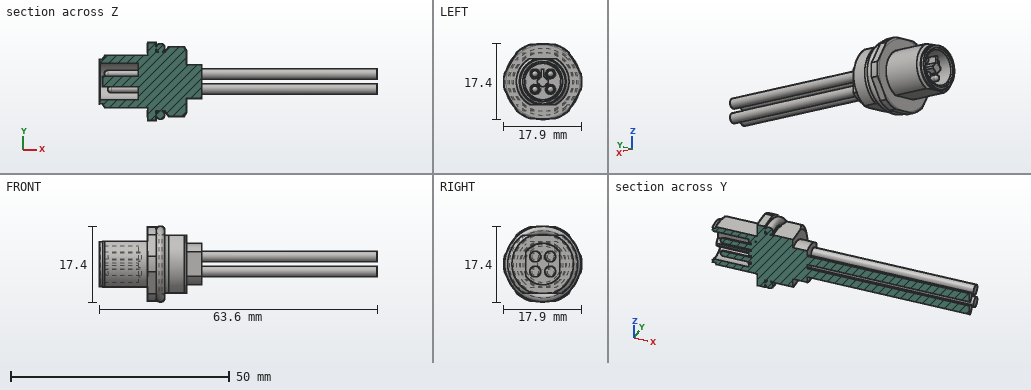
import cadquery as cq
import math

tip_end = 0.75
body_chamfer_end = 1.3
flange_start = 11.0
flange_end = 13.0
ring_end = 15.0
nut_end = 20.0
boot_end = 23.5
total_length = 63.6

tip_diameter = 10.3
body_diameter = 12.1
body_chamfer_diameter = 10.7
body_across_flats = 10.55

flange_across_flats = 17.0
flange_corner_diameter = 17.95
flange_face_diameter = 16.9
flange_chamfer_length = 0.05

ring_diameter = 17.4
ring_section = ring_end - flange_end
ring_seat_diameter = 13.5

nut_diameter = 16.0
nut_across_flats = 13.3
nut_front_chamfer_length = 0.9
nut_front_chamfer_depth = 1.2
nut_rear_chamfer_length = 0.6
nut_rear_chamfer_depth = 0.95

boot_diameter = 9.55
boot_across_flats = 7.75

wire_offset = 1.7
wire_diameter = 2.5

socket_mouth_diameter = 9.15
socket_diameter = 8.3
socket_mouth_depth = 0.25
socket_floor_x = 8.9

pin_offset = 1.8
pin_diameter = 1.5
pin_recess_diameter = 2.15
pin_recess_depth = 0.65
pin_tip_x = 1.9
leading_pin_tip_x = 1.15

post_tip_x = 0.7
post_diameter = 2.5
post_across_flats = 2.1
rib_width = 0.6
rib_top = 2.8


def section(x):
    """Sketch plane across the axis: local x is +Y, local y is +Z."""
    return cq.Workplane("YZ", origin=(x, 0, 0))


def disc(start, end, diameter):
    return section(start).circle(diameter / 2).extrude(end - start)


def revolved(profile):
    """Turn a closed (x, radius) profile about the X axis."""
    return cq.Workplane("XY").polyline(profile).close().revolve(360, (0, 0), (1, 0))


def flat_bar(start, end, width_y, width_z):
    return section(start).rect(width_y, width_z).extrude(end - start)


def square_pattern(x, offset):
    return section(x).rect(2 * offset, 2 * offset, forConstruction=True).vertices()


def make_body():
    radius = body_diameter / 2
    barrel = revolved([
        (tip_end, 0),
        (tip_end, body_chamfer_diameter / 2),
        (body_chamfer_end, radius),
        (flange_start, radius),
        (flange_start, 0),
    ])
    barrel = barrel.intersect(flat_bar(tip_end, flange_start, body_diameter, body_across_flats))
    return barrel.union(disc(0, tip_end, tip_diameter))


def make_flange():
    circumscribed = flange_across_flats / math.cos(math.pi / 6)
    hexagon = section(flange_start).polygon(6, circumscribed).extrude(flange_end - flange_start)
    corner_radius = flange_corner_diameter / 2
    corner_cutter = revolved([
        (flange_start, 0),
        (flange_start, flange_face_diameter / 2),
        (flange_start + flange_chamfer_length, corner_radius),
        (flange_end, corner_radius),
        (flange_end, 0),
    ])
    return hexagon.intersect(corner_cutter)


def make_sealing_ring():
    section_radius = ring_section / 2
    ring_center = (flange_end + section_radius, ring_diameter / 2 - section_radius)
    ring = cq.Workplane("XY").moveTo(*ring_center).circle(section_radius)
    return ring.revolve(360, (0, 0), (1, 0))


def make_nut():
    radius = nut_diameter / 2
    nut = revolved([
        (ring_end, 0),
        (ring_end, radius - nut_front_chamfer_depth),
        (ring_end + nut_front_chamfer_length, radius),
        (nut_end - nut_rear_chamfer_length, radius),
        (nut_end, radius - nut_rear_chamfer_depth),
        (nut_end, 0),
    ])
    return nut.intersect(flat_bar(ring_end, nut_end, nut_diameter, nut_across_flats))


def make_boot():
    boot = disc(nut_end, boot_end, boot_diameter)
    return boot.intersect(flat_bar(nut_end, boot_end, boot_across_flats, boot_diameter))


def make_socket():
    """Bore with a chamfered mouth and four pin recesses in its floor."""
    socket = revolved([
        (0, 0),
        (0, socket_mouth_diameter / 2),
        (socket_mouth_depth, socket_diameter / 2),
        (socket_floor_x, socket_diameter / 2),
        (socket_floor_x, 0),
    ])
    recesses = square_pattern(socket_floor_x, pin_offset).circle(pin_recess_diameter / 2)
    return socket.union(recesses.extrude(pin_recess_depth))


def make_pin(tip_x, y, z):
    """Round pin with a hemispherical tip."""
    radius = pin_diameter / 2
    shoulder_x = tip_x + radius
    shaft_length = socket_floor_x + pin_recess_depth - shoulder_x
    pin = section(shoulder_x).circle(radius).extrude(shaft_length)
    return pin.union(section(shoulder_x).sphere(radius)).translate((0, y, z))


def make_post():
    post = disc(post_tip_x, socket_floor_x, post_diameter)
    square = flat_bar(post_tip_x, socket_floor_x, post_across_flats, post_across_flats)
    post = post.intersect(square.rotate((0, 0, 0), (1, 0, 0), 45))
    rib = flat_bar(post_tip_x, socket_floor_x, rib_width, rib_top)
    return post.union(rib.translate((0, 0, rib_top / 2)))


def make_wires():
    return square_pattern(boot_end, wire_offset).circle(wire_diameter / 2).extrude(total_length - boot_end)


ring_seat = disc(flange_end, ring_end, ring_seat_diameter)
result = make_body().union(make_flange()).union(ring_seat).union(make_sealing_ring())
result = result.union(make_nut()).union(make_boot()).union(make_wires())
result = result.cut(make_socket()).union(make_post())
for side_y in (-1, 1):
    for side_z in (-1, 1):
        is_leading = side_y > 0 and side_z < 0
        tip_x = leading_pin_tip_x if is_leading else pin_tip_x
        result = result.union(make_pin(tip_x, side_y * pin_offset, side_z * pin_offset))